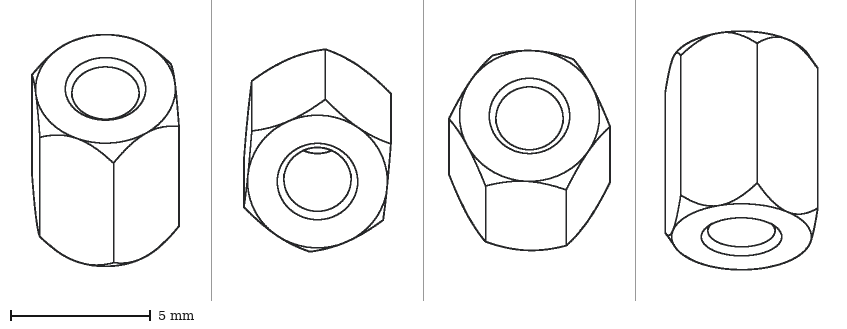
import cadquery as cq
import math

height = 7.0
across_flats = 5.0
bore_diameter = 2.4
countersink_diameter = 2.88
end_cone_angle = 60.0
countersink_angle = 45.0

across_corners = across_flats / math.cos(math.radians(30))
flat_radius = across_flats / 2
corner_radius = across_corners / 2
corner_drop = (corner_radius - flat_radius) * math.tan(math.radians(end_cone_angle))
bore_radius = bore_diameter / 2
countersink_radius = countersink_diameter / 2
countersink_depth = (countersink_radius - bore_radius) * math.tan(math.radians(countersink_angle))


def hexagonal_bar():
    """Hexagonal prism with flats facing +X and -X."""
    return (
        cq.Workplane("XY")
        .polygon(6, across_corners)
        .extrude(height)
        .rotate((0, 0, 0), (0, 0, 1), 30)
    )


def chamfered_envelope():
    """Turned body with the bore and countersinks; its end cones trim the hexagon corners."""
    profile = [
        (bore_radius, countersink_depth),
        (countersink_radius, 0),
        (flat_radius, 0),
        (corner_radius, corner_drop),
        (corner_radius, height - corner_drop),
        (flat_radius, height),
        (countersink_radius, height),
        (bore_radius, height - countersink_depth),
    ]
    return cq.Workplane("XZ").polyline(profile).close().revolve(360, (0, 0, 0), (0, 1, 0))


result = hexagonal_bar().intersect(chamfered_envelope())